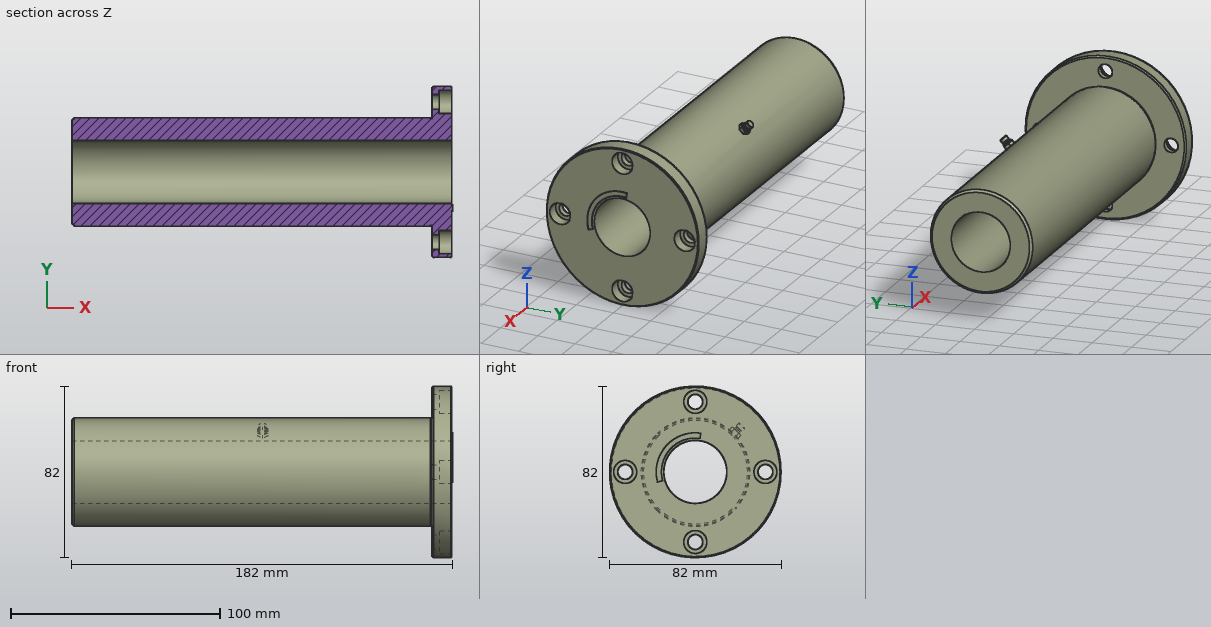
import cadquery as cq
import math

overall_length = 182.0
marking_height = 0.5
flange_face_x = overall_length - marking_height
flange_thickness = 9.5
flange_back_x = flange_face_x - flange_thickness

tube_diameter = 52.0
bore_diameter = 30.0
tube_chamfer = 1.2
groove_width = 0.7
groove_depth = 0.5

flange_diameter = 82.0
flange_back_chamfer = 0.8
flange_front_chamfer = 0.5
bolt_circle_diameter = 67.0
bolt_hole_diameter = 7.0
bolt_count = 4
counterbore_diameter = 11.0
counterbore_depth = 6.0

nipple_x = overall_length / 2
nipple_tilt = 45.0
nipple_root = 20.0
hex_top = 27.8
hex_across_flats = 5.0
hex_sides = 6
collar_top = 28.6
collar_radius = 2.3
neck_top = 29.4
neck_radius = 1.5
nipple_tip = 31.4
head_radius = 1.9
tip_chamfer = 0.2

band_inner_radius = 16.2
band_outer_radius = 18.7
band_start_angle = 82.0
band_end_angle = 195.0


def x_cylinder(diameter, start_x, length):
    """Cylinder along +X about the part axis."""
    return cq.Workplane("YZ").workplane(offset=start_x).circle(diameter / 2).extrude(length)


def make_tube_and_flange():
    """Tube and flange with chamfered rims and a shallow relief groove where they join."""
    tube = x_cylinder(tube_diameter, 0, flange_face_x).faces("<X").chamfer(tube_chamfer)
    flange = (
        x_cylinder(flange_diameter, flange_back_x, flange_thickness)
        .faces("<X")
        .chamfer(flange_back_chamfer)
        .faces(">X")
        .chamfer(flange_front_chamfer)
    )
    body = tube.union(flange)
    groove_x = flange_back_x - groove_width
    groove_core = x_cylinder(tube_diameter - 2 * groove_depth, groove_x, groove_width)
    groove = x_cylinder(tube_diameter, groove_x, groove_width).cut(groove_core)
    return body.cut(groove)


def bolt_cylinders(diameter, start_x, length):
    """Cylinders along +X, evenly spaced on the bolt circle."""
    return (
        cq.Workplane("YZ")
        .workplane(offset=start_x)
        .polarArray(bolt_circle_diameter / 2, 0, 360, bolt_count)
        .circle(diameter / 2)
        .extrude(length)
    )


def cut_bolt_holes(body):
    """Through holes with counterbores sunk into the flange face."""
    holes = bolt_cylinders(bolt_hole_diameter, flange_back_x, flange_thickness)
    counterbores = bolt_cylinders(counterbore_diameter, flange_face_x - counterbore_depth, counterbore_depth)
    return body.cut(holes).cut(counterbores)


def make_nipple():
    """Grease nipple rooted in the tube wall, pointing out towards +Y and +Z."""
    hexagon = (
        cq.Workplane("XY")
        .workplane(offset=nipple_root)
        .polygon(hex_sides, hex_across_flats, circumscribed=True)
        .extrude(hex_top - nipple_root)
    )
    spigot = (
        cq.Workplane("XZ")
        .moveTo(0, nipple_root)
        .lineTo(collar_radius, nipple_root)
        .lineTo(collar_radius, collar_top)
        .lineTo(neck_radius, collar_top)
        .lineTo(neck_radius, neck_top)
        .lineTo(head_radius, neck_top)
        .lineTo(head_radius, nipple_tip - tip_chamfer)
        .lineTo(head_radius - tip_chamfer, nipple_tip)
        .lineTo(0, nipple_tip)
        .close()
        .revolve(360, (0, 0, 0), (0, 1, 0))
    )
    nipple = hexagon.union(spigot)
    return nipple.rotate((0, 0, 0), (1, 0, 0), -nipple_tilt).translate((nipple_x, 0, 0))


def make_marking_band():
    """Plain raised arc on the flange face, beside the bore."""

    def point(radius, angle):
        return (radius * math.cos(math.radians(angle)), radius * math.sin(math.radians(angle)))

    middle_angle = (band_start_angle + band_end_angle) / 2
    return (
        cq.Workplane("YZ")
        .workplane(offset=flange_face_x)
        .moveTo(*point(band_outer_radius, band_start_angle))
        .threePointArc(point(band_outer_radius, middle_angle), point(band_outer_radius, band_end_angle))
        .lineTo(*point(band_inner_radius, band_end_angle))
        .threePointArc(point(band_inner_radius, middle_angle), point(band_inner_radius, band_start_angle))
        .close()
        .extrude(marking_height)
    )


body = cut_bolt_holes(make_tube_and_flange())
body = body.cut(x_cylinder(bore_diameter, 0, flange_face_x))
result = body.union(make_nipple()).union(make_marking_band())